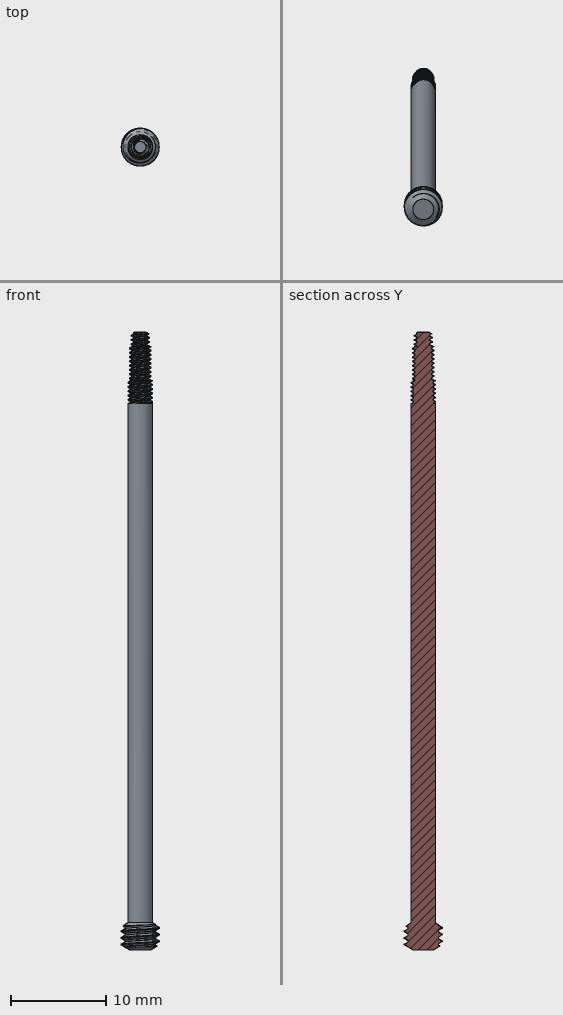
import cadquery as cq
import math

total_length = 65.0

head_diameter = 4.0
head_height = 2.9
head_pitch = 0.7
head_bottom_radius = 1.1
head_bottom_cone_height = 0.55
head_top_cone_height = 0.5
head_groove_z = 0.58

shaft_diameter = 2.6

tip_pitch = 0.45
tip_groove_z = total_length - 0.37
tip_diameters = [2.6, 2.3, 1.9]
tip_lengths = [2.4, 3.6, 1.5]
tip_end_radius = 0.6
tip_end_cone_height = 0.2

flank_angle = math.radians(30)
crest_flat_ratio = 1 / 8
root_flat_ratio = 1 / 4
cutter_overhang = 0.03

bar_margin = 2.0


def cylinder(diameter, bottom, height):
    """Cylinder about the Z axis whose seam lies on the -X side."""
    upright = cq.Workplane("XY").workplane(offset=bottom).circle(diameter / 2).extrude(height)
    return upright.rotate((0, 0, 0), (0, 0, 1), 180)


def thread_groove(radius, pitch, groove_z, bottom, top):
    """Right-handed helical cutter that covers the thread and overruns both its ends."""
    root_half = pitch * root_flat_ratio / 2
    crest_half = pitch * (1 - crest_flat_ratio) / 2
    root_radius = radius - (crest_half - root_half) / math.tan(flank_angle)
    outer_half = crest_half + cutter_overhang * math.tan(flank_angle)
    outer_radius = radius + cutter_overhang

    start_z = groove_z + (math.floor((bottom - groove_z) / pitch) - 1) * pitch
    turns = math.ceil((top - start_z) / pitch) + 1

    path = cq.Workplane(cq.Wire.makeHelix(pitch, turns * pitch, radius))
    profile = cq.Workplane("XZ").polyline(
        [
            (root_radius, -root_half),
            (outer_radius, -outer_half),
            (outer_radius, outer_half),
            (root_radius, root_half),
        ]
    ).close()
    return profile.sweep(path, isFrenet=True).translate((0, 0, start_z))


def threaded_bar(diameter, pitch, groove_z, bottom, length):
    """Bar threaded over at least the given length, with spare length beyond both ends."""
    bar = cylinder(diameter, bottom - bar_margin, length + 2 * bar_margin)
    return bar.cut(thread_groove(diameter / 2, pitch, groove_z, bottom, bottom + length))


def end_cone(crest_radius, end_radius, height, end_z, direction):
    """Outline of an end cone, from the end face to just past the crest.

    The cone keeps its slope beyond the crest radius. The direction is 1 where the
    part lies above the end face and -1 where it lies below.
    """
    trim_radius = crest_radius + cutter_overhang
    slope = height / (crest_radius - end_radius)
    return [
        (0, end_z),
        (end_radius, end_z),
        (trim_radius, end_z + direction * (trim_radius - end_radius) * slope),
    ]


def revolved(outline):
    return cq.Workplane("XZ").polyline(outline).close().revolve(360, (0, 0), (0, 1))


def make_head():
    bar = threaded_bar(head_diameter, head_pitch, head_groove_z, 0, head_height)
    crest_radius = head_diameter / 2
    lower_cone = end_cone(crest_radius, head_bottom_radius, head_bottom_cone_height, 0, 1)
    upper_cone = end_cone(crest_radius, shaft_diameter / 2, head_top_cone_height, head_height, -1)
    return bar.intersect(revolved(lower_cone + upper_cone[::-1]))


def make_tip_section(diameter, bottom, length):
    bar = threaded_bar(diameter, tip_pitch, tip_groove_z, bottom, length)
    return bar.intersect(cylinder(diameter + 2 * cutter_overhang, bottom, length))


def tip_end_trim():
    """Envelope of the uppermost tip section, coned at its end face."""
    crest_radius = tip_diameters[-1] / 2
    end_bottom = total_length - tip_lengths[-1]
    cone = end_cone(crest_radius, tip_end_radius, tip_end_cone_height, total_length, -1)
    return revolved(cone + [(crest_radius + cutter_overhang, end_bottom), (0, end_bottom)])


tip_bottom = total_length - sum(tip_lengths)
result = make_head().union(cylinder(shaft_diameter, head_height, tip_bottom - head_height))

section_bottom = tip_bottom
for section_diameter, section_length in zip(tip_diameters[:-1], tip_lengths[:-1]):
    result = result.union(make_tip_section(section_diameter, section_bottom, section_length))
    section_bottom += section_length

end_section = make_tip_section(tip_diameters[-1], section_bottom, tip_lengths[-1])
result = result.union(end_section.intersect(tip_end_trim()))